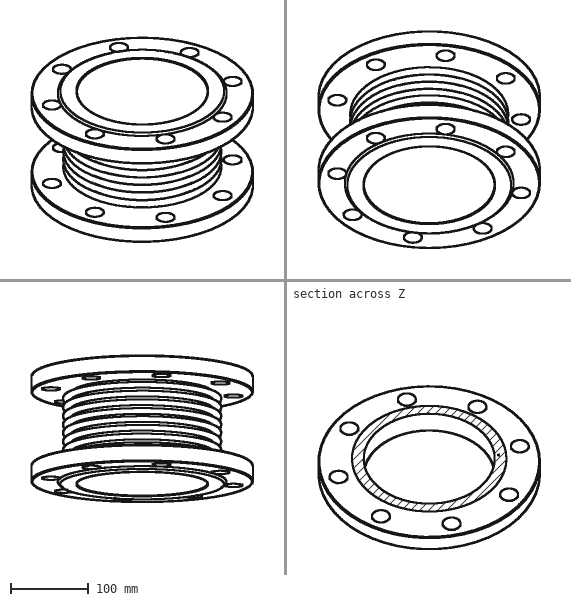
import cadquery as cq

flange_diameter = 285.0
total_height = 145.0
bore_diameter = 168.0
bore_edge_chamfer = 0.9

flange_thickness = 22.0
flange_edge_chamfer = 1.0
raised_face_height = 3.0
raised_face_base_diameter = 217.2
raised_face_top_diameter = raised_face_base_diameter - 2 * raised_face_height

bolt_hole_count = 8
bolt_hole_diameter = 23.0
bolt_circle_diameter = 240.0

neck_diameter = 180.0
body_diameter = 183.5
ridge_diameter = 203.5
ridges_per_half = 4
ridge_pitch = 11.5
middle_ridge_gap = 10.5
ridge_thickness = 6.0
ridge_fillet = 2.5

flange_outer_z = total_height / 2 - raised_face_height
flange_inner_z = flange_outer_z - flange_thickness
outer_ridge_z = middle_ridge_gap / 2 + (ridges_per_half - 1) * ridge_pitch


def cylinder(diameter, bottom_z, height):
    return cq.Workplane("XY").workplane(offset=bottom_z).circle(diameter / 2).extrude(height)


def cone(bottom_diameter, top_diameter, bottom_z, height):
    return (
        cq.Workplane("XY")
        .workplane(offset=bottom_z)
        .circle(bottom_diameter / 2)
        .workplane(offset=height)
        .circle(top_diameter / 2)
        .loft(ruled=True)
    )


def upper_flange():
    disc = cylinder(flange_diameter, flange_inner_z, flange_thickness)
    disc = disc.edges().chamfer(flange_edge_chamfer)
    raised_face = cone(
        raised_face_base_diameter, raised_face_top_diameter, flange_outer_z, raised_face_height
    )
    return disc.union(raised_face)


def ridge(center_z):
    disc = cylinder(ridge_diameter, center_z - ridge_thickness / 2, ridge_thickness)
    return disc.edges().fillet(ridge_fillet)


def bellows():
    neck = cylinder(neck_diameter, -flange_inner_z, 2 * flange_inner_z)
    tube = neck.union(cylinder(body_diameter, -outer_ridge_z, 2 * outer_ridge_z))
    for index in range(ridges_per_half):
        center_z = middle_ridge_gap / 2 + index * ridge_pitch
        tube = tube.union(ridge(center_z)).union(ridge(-center_z))
    return tube


def bolt_holes():
    return (
        cq.Workplane("XY")
        .workplane(offset=-total_height / 2)
        .polarArray(bolt_circle_diameter / 2, 0, 360, bolt_hole_count)
        .circle(bolt_hole_diameter / 2)
        .extrude(total_height)
    )


def bore():
    passage = cylinder(bore_diameter, -total_height / 2, total_height)
    mouth_diameter = bore_diameter + 2 * bore_edge_chamfer
    mouth_bottom_z = total_height / 2 - bore_edge_chamfer
    mouth = cone(bore_diameter, mouth_diameter, mouth_bottom_z, bore_edge_chamfer)
    return passage.union(mouth).union(mouth.mirror("XY"))


top_flange = upper_flange()
bottom_flange = top_flange.mirror("XY")
result = bellows().union(top_flange).union(bottom_flange).cut(bore()).cut(bolt_holes())